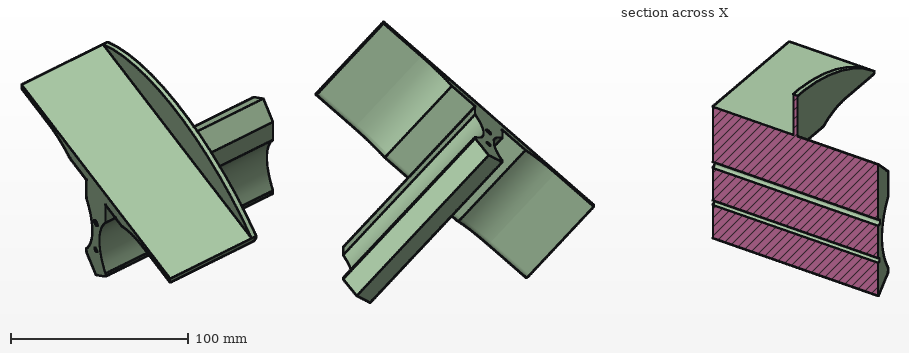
import cadquery as cq

overall_width = 160.02
overall_length = 111.125
overall_height = 116.13
fin_height = 27.4

plate_thickness = 3.175
table_thickness = 3.81
rib_depth = 10.15
rib_half_width = 28.0
rib_blend_half_width = 51.0

stem_half_width = 10.32
stem_waist_half_width = 3.81
waist_top_z = -27.3
waist_bottom_z = -75.4

upper_hole_z = -39.4
upper_hole_diameter = 3.7
lower_hole_z = -64.8
lower_hole_diameter = 2.7

half_width = overall_width / 2
front_y = -(overall_length + plate_thickness) / 2
back_y = front_y + overall_length
stem_bottom_z = fin_height - overall_height
stem_lower_shoulder_z = stem_bottom_z + stem_half_width
waist_z = (waist_top_z + waist_bottom_z) / 2


def extrude_along_y(outline, y_start, y_end):
    """Extrude a closed XZ outline from y_start to y_end."""
    return outline.extrude(y_start - y_end).translate((0, y_start, 0))


def make_table():
    """Table with its rib, rounded along the lower back edge."""
    half_outline = (
        cq.Workplane("XZ")
        .lineTo(half_width, 0)
        .lineTo(half_width, -table_thickness)
        .lineTo(rib_blend_half_width, -table_thickness)
        .tangentArcPoint((rib_half_width, -rib_depth), relative=False)
        .lineTo(0, -rib_depth)
        .close()
    )
    half_table = extrude_along_y(half_outline, front_y, 0)
    table = half_table.union(half_table.mirror("YZ")).clean()
    back_edges = table.faces(">Y").edges()
    underside_edges = back_edges.edges("not >Z").edges("not |Z")
    return underside_edges.fillet(plate_thickness)


def make_fin():
    """Upright fin with an arched top, standing on the back of the table."""
    outline = (
        cq.Workplane("XZ")
        .moveTo(-half_width, 0)
        .threePointArc((0, fin_height), (half_width, 0))
        .close()
    )
    return extrude_along_y(outline, -plate_thickness, 0)


def make_stem():
    """Necked stem running the full length of the part."""
    outline = (
        cq.Workplane("XZ")
        .lineTo(stem_half_width, -stem_half_width)
        .lineTo(stem_half_width, waist_top_z)
        .threePointArc((stem_waist_half_width, waist_z), (stem_half_width, waist_bottom_z))
        .lineTo(stem_half_width, stem_lower_shoulder_z)
        .lineTo(0, stem_bottom_z)
        .lineTo(-stem_half_width, stem_lower_shoulder_z)
        .lineTo(-stem_half_width, waist_bottom_z)
        .threePointArc((-stem_waist_half_width, waist_z), (-stem_half_width, waist_top_z))
        .lineTo(-stem_half_width, -stem_half_width)
        .close()
    )
    return extrude_along_y(outline, front_y, back_y)


def make_hole(hole_z, diameter):
    """Cutter for a hole through the whole length of the stem."""
    circle = cq.Workplane("XZ").center(0, hole_z).circle(diameter / 2)
    return extrude_along_y(circle, front_y, back_y)


result = make_table().union(make_fin()).union(make_stem())
result = result.cut(make_hole(upper_hole_z, upper_hole_diameter))
result = result.cut(make_hole(lower_hole_z, lower_hole_diameter))